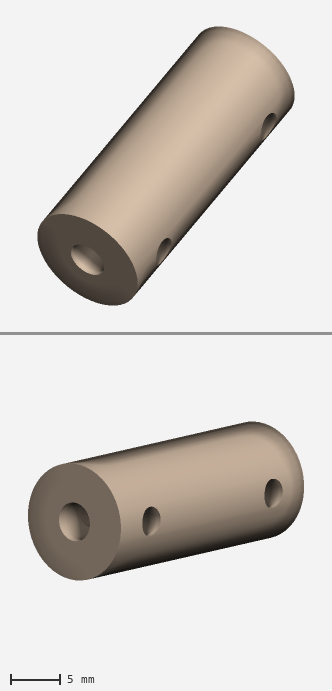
import cadquery as cq

length = 30.0
outer_diameter = 12.0
bore_diameter = 4.0
cross_hole_diameter = 3.0
cross_hole_spacing = length * 2 / 3


def rod_along_y(diameter):
    """Full-length cylinder centred on the origin, axis along Y."""
    return cq.Workplane("XZ", origin=(0, length / 2, 0)).circle(diameter / 2).extrude(length)


def cross_hole_cutters():
    """Two cylinders along X, placed symmetrically along the tube."""
    return (
        cq.Workplane("YZ")
        .rarray(cross_hole_spacing, 0.3, 2, 1)
        .circle(cross_hole_diameter / 2)
        .extrude(outer_diameter, both=True)
    )


tube = rod_along_y(outer_diameter).cut(rod_along_y(bore_diameter))

result = tube.cut(cross_hole_cutters())